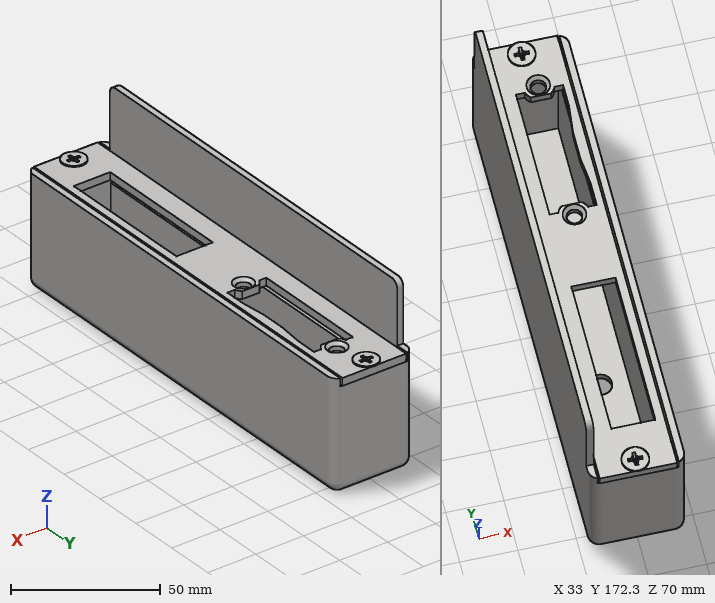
import cadquery as cq

width = 33.0
length = 172.0
housing_height = 45.0
corner_radius = 4.0
wall = 2.5
channel_half_width = width / 2 - wall

plate_top = 70.0
plate_length = 160.2
plate_corner_radius = 3.1

cavity_length = 151.6
shelf_width = 2.8
shelf_drop = 7.0
floor_thickness = wall

cable_hole_diameter = 8.0
cable_hole_spacing = 50.0
cable_hole_x = 1.5

lid_thickness = 3.1
lid_gap = 0.7
lid_width = 2 * (channel_half_width - lid_gap)
lid_bottom = housing_height - lid_thickness

window_x = 2.5
plain_window_width = 15.2
plain_window_length = 57.2
plain_window_y = -39.3
latch_window_width = 16.2
latch_window_length = 48.2
latch_window_y = 42.5
bow_length = 31.0
bow_depth = 1.2

latch_hole_spacing = 52.0
latch_hole_diameter = 5.3
countersink_diameter = 8.0
countersink_angle = 90
lug_diameter = 10.9
lug_reach = 2.2

head_diameter = 9.3
head_height = 0.5
shank_diameter = 5.3
shank_length = 13.8
screw_spacing = 163.0
recess_span = 5.0
recess_arm_width = 1.0
recess_arm_depth = 1.5
recess_core_width = 1.9
recess_core_depth = 2.5
recess_core_tip = 0.3

screw_places = [(0, side * screw_spacing / 2) for side in (-1, 1)]


def block(size_x, size_y, bottom, top):
    """Upright block centred on the Z axis, from bottom to top."""
    return cq.Workplane("XY").workplane(offset=bottom).rect(size_x, size_y).extrude(top - bottom)


def make_back_plate():
    plate = block(wall, plate_length, corner_radius, plate_top)
    plate = plate.edges("|X and >Z").fillet(plate_corner_radius)
    return plate.translate((wall / 2 - width / 2, 0, 0))


def make_housing():
    body = block(width, length, 0, housing_height)
    body = body.edges("|Z").fillet(corner_radius)
    body = body.faces("<Z").edges().fillet(corner_radius)

    body = body.cut(block(2 * channel_half_width, length, lid_bottom, housing_height))

    shelf_z = lid_bottom - shelf_drop
    body = body.cut(block(2 * channel_half_width, cavity_length, shelf_z, lid_bottom))
    lower_width = 2 * (channel_half_width - shelf_width)
    body = body.cut(block(lower_width, cavity_length, floor_thickness, shelf_z))

    cable_holes = (
        cq.Workplane("XY")
        .pushPoints([(cable_hole_x, side * cable_hole_spacing / 2) for side in (-1, 1)])
        .circle(cable_hole_diameter / 2)
        .extrude(floor_thickness)
    )
    screw_holes = (
        cq.Workplane("XY")
        .workplane(offset=housing_height - shank_length)
        .pushPoints(screw_places)
        .circle(shank_diameter / 2)
        .extrude(shank_length)
    )
    return body.cut(cable_holes).cut(screw_holes).union(make_back_plate())


def make_latch_window():
    """Cutter for the latch window: bowed on its +X side, with a lug at each end."""
    half_width = latch_window_width / 2
    half_length = latch_window_length / 2
    window = (
        cq.Workplane("XY")
        .workplane(offset=lid_bottom)
        .moveTo(-half_width, -half_length)
        .lineTo(half_width, -half_length)
        .lineTo(half_width, -bow_length / 2)
        .threePointArc((half_width - bow_depth, 0), (half_width, bow_length / 2))
        .lineTo(half_width, half_length)
        .lineTo(-half_width, half_length)
        .close()
        .extrude(lid_thickness)
    )
    for side in (-1, 1):
        lug = (
            cq.Workplane("XY")
            .workplane(offset=lid_bottom)
            .center(0, side * latch_hole_spacing / 2)
            .circle(lug_diameter / 2)
            .extrude(lid_thickness)
        )
        flat_end = block(lug_diameter, latch_window_length - 2 * lug_reach, lid_bottom, housing_height)
        window = window.cut(lug.cut(flat_end))
    return window.translate((window_x, latch_window_y, 0))


def make_lid():
    lid = block(lid_width, length, lid_bottom, housing_height)
    plain_window = block(plain_window_width, plain_window_length, lid_bottom, housing_height)
    lid = lid.cut(plain_window.translate((window_x, plain_window_y, 0)))
    lid = lid.cut(make_latch_window())

    latch_holes = [
        (window_x, latch_window_y + side * latch_hole_spacing / 2) for side in (-1, 1)
    ]
    top = cq.Workplane("XY").workplane(offset=housing_height)
    lid = (
        lid.copyWorkplane(top)
        .pushPoints(latch_holes)
        .cskHole(latch_hole_diameter, countersink_diameter, countersink_angle)
    )
    return lid.copyWorkplane(top).pushPoints(screw_places).hole(shank_diameter, lid_thickness)


def make_recess(head_top):
    """Cross recess cutter: two crossed arms that deepen inward to a pyramid-shaped core."""
    arm_profile = [
        (-recess_span / 2, 0),
        (recess_span / 2, 0),
        (recess_core_width / 2, -recess_arm_depth),
        (-recess_core_width / 2, -recess_arm_depth),
    ]
    arm = cq.Workplane("XZ").polyline(arm_profile).close().extrude(recess_arm_width / 2, both=True)
    crossed_arm = arm.rotate((0, 0, 0), (0, 0, 1), 90)
    core = (
        cq.Workplane("XY")
        .rect(recess_core_width, recess_core_width)
        .workplane(offset=-recess_core_depth)
        .rect(recess_core_tip, recess_core_tip)
        .loft()
    )
    return arm.union(crossed_arm).union(core).translate((0, 0, head_top))


def make_screw():
    """Flat-headed screw with a cross recess, its head resting on the lid."""
    lid_top = cq.Workplane("XY").workplane(offset=housing_height)
    shank = lid_top.circle(shank_diameter / 2).extrude(-shank_length)
    head = lid_top.circle(head_diameter / 2).extrude(head_height)
    return shank.union(head).cut(make_recess(housing_height + head_height))


housing = make_housing()
lid = make_lid()
screws = [make_screw().translate((x, y, 0)) for x, y in screw_places]

result = cq.Compound.makeCompound([housing.val(), lid.val(), *[screw.val() for screw in screws]])